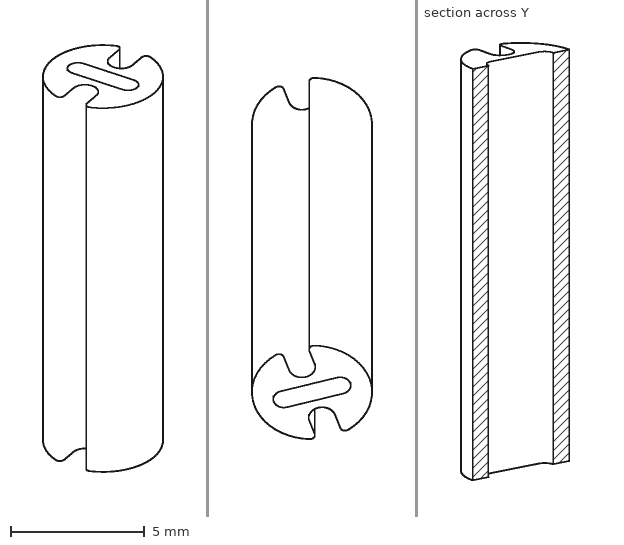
import cadquery as cq

diameter = 4.5
length = 16.0

groove_width = 1.0
groove_floor_gap = 1.55
lip_radius = 0.19

slot_length = 3.0
slot_width = 0.8


def make_body():
    return cq.Workplane("XY").circle(diameter / 2).extrude(length)


def make_groove(side):
    """Cutter for the groove on the +Y (side=1) or -Y (side=-1) flank."""
    half_width = groove_width / 2
    arc_center = groove_floor_gap / 2 + half_width
    outside = diameter
    return (
        cq.Workplane("XY")
        .moveTo(-half_width, side * outside)
        .lineTo(-half_width, side * arc_center)
        .threePointArc((0, side * groove_floor_gap / 2), (half_width, side * arc_center))
        .lineTo(half_width, side * outside)
        .close()
        .extrude(length)
    )


def round_groove_lips(body):
    """Round the four long edges where the grooves meet the cylinder."""
    lip_y = ((diameter / 2) ** 2 - (groove_width / 2) ** 2) ** 0.5
    for side_x in (-1, 1):
        for side_y in (-1, 1):
            lip_point = (side_x * groove_width / 2, side_y * lip_y, length / 2)
            body = body.edges(cq.selectors.NearestToPointSelector(lip_point)).fillet(lip_radius)
    return body


def make_center_slot():
    return cq.Workplane("XY").slot2D(slot_length, slot_width).extrude(length)


result = make_body()
for groove_side in (-1, 1):
    result = result.cut(make_groove(groove_side))
result = round_groove_lips(result)
result = result.cut(make_center_slot())